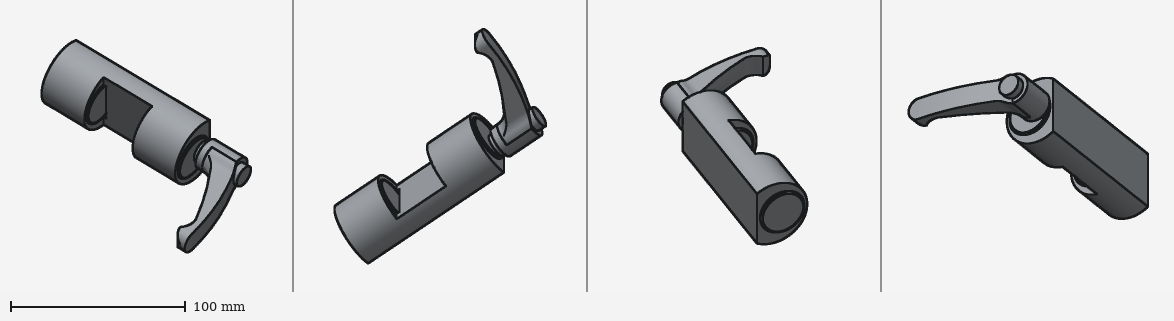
import cadquery as cq
import math


BODY_START = 1.4
BODY_END = 98.9
BODY_RADIUS = 20.98
BACK_FLAT_Y = 11.1
NOTCH_START = 32.7
NOTCH_END = 67.9
NOTCH_FLOOR_Y = -3.2

PLUG_Y = -4.8
PLUG_RADIUS = 14.0
PLUG_EDGE_LENGTH = 0.7
PLUG_EDGE_DEPTH = 1.1
RIGHT_PLUG_END = 100.0
LEFT_PLUG_OVERHANG = 0.4
RIGHT_PLUG_OVERHANG = 1.0
BORE_OVERRUN = 1.8

HUB_Y = 2.0
STEM_RADIUS = 6.9
HUB_START = 103.3
HUB_END = 126.0
HUB_RADIUS = 9.63
CAP_END = 131.0
CAP_RADIUS = 6.58

COLLAR_THICKNESS = 0.07
COLLAR_RADIUS = HUB_RADIUS + COLLAR_THICKNESS
ARM_START = 108.2
ARM_TOP_Y = 1.4
ARM_HALF_THICKNESS = 6.9
ARM_FILLET = 10.1
ARM_OUTER_MIDDLE = (134.3, -22.5)
ARM_RIGHT = 138.5
TIP_Y = -55.1
TIP_BOTTOM_Y = TIP_Y - ARM_HALF_THICKNESS
TIP_BULGE = (131.7, -60.0)
TIP_LOWEST_X = 135.7
TIP_LEFT_X = 130.0
TIP_LEFT_LENGTH = 1.0
LIP_MIDDLE = (133.1, -50.3)
NECK = (133.4, -45.4)

RIDGE_HALF_THICKNESS = 1.59
RIDGE_INNER_MIDDLE = (123.7, -24.2)
RIDGE_ROOT_END = (116.2, -11.8)
FACE_INNER_MIDDLE = (124.2, -24.2)
FACE_ROOT_END = (116.5, -10.4)
FLANK_HEIGHTS = (RIDGE_HALF_THICKNESS, 4.2, 6.6, 8.7)


def cylinder(start, end, radius, y):
    """Cylinder along X."""
    return cq.Workplane("YZ", origin=(start, y, 0)).circle(radius).extrude(end - start)


def make_body():
    body = cylinder(BODY_START, BODY_END, BODY_RADIUS, 0)
    length = BODY_END - BODY_START
    height = 2 * BODY_RADIUS
    stock = cq.Workplane("XY").box(length, BODY_RADIUS + BACK_FLAT_Y, height, centered=(False, False, True))
    body = body.intersect(stock.translate((BODY_START, -BODY_RADIUS, 0)))
    notch = cq.Workplane("XY").box(
        NOTCH_END - NOTCH_START, BODY_RADIUS + NOTCH_FLOOR_Y, height, centered=(False, False, True)
    )
    body = body.cut(notch.translate((NOTCH_START, -BODY_RADIUS, 0)))
    body = body.cut(cylinder(BODY_START, NOTCH_START + BORE_OVERRUN, PLUG_RADIUS, PLUG_Y))
    return body.cut(cylinder(NOTCH_END - BORE_OVERRUN, BODY_END, PLUG_RADIUS, PLUG_Y))


def make_plug(start, end):
    """Plug with both rims bevelled."""
    plug = cylinder(start, end, PLUG_RADIUS, PLUG_Y)
    plug = plug.faces("<X").chamfer(PLUG_EDGE_LENGTH, PLUG_EDGE_DEPTH)
    return plug.faces(">X").chamfer(PLUG_EDGE_LENGTH, PLUG_EDGE_DEPTH)


def slope(ridge_point, face_point, z):
    """Point at height z on the line from the ridge to the upper face."""
    share = (z - RIDGE_HALF_THICKNESS) / (ARM_HALF_THICKNESS - RIDGE_HALF_THICKNESS)
    return tuple(ridge + share * (face - ridge) for ridge, face in zip(ridge_point, face_point))


def close_inner_side(outline, z):
    """Close a plan outline, open at the neck, with the inner side the arm has at height z."""
    inner_middle = slope(RIDGE_INNER_MIDDLE, FACE_INNER_MIDDLE, z)
    root_end = slope(RIDGE_ROOT_END, FACE_ROOT_END, z)

    root_start = (ARM_START, HUB_Y - math.sqrt(COLLAR_RADIUS**2 - z**2))
    run = root_end[0] - root_start[0]
    drop = root_start[1] - root_end[1]
    radius = (run**2 + drop**2) / (2 * drop)
    half_turn = math.atan2(drop, run)
    root_middle = (
        root_start[0] + radius * math.sin(half_turn),
        root_start[1] - radius * (1 - math.cos(half_turn)),
    )
    return (
        outline.threePointArc(inner_middle, root_end)
        .threePointArc(root_middle, root_start)
        .close()
    )


def core_outline(z):
    """Plan outline of the whole arm, with the inner side it has at height z."""
    outline = (
        cq.Workplane("XY")
        .moveTo(ARM_START, ARM_TOP_Y)
        .lineTo(HUB_END, ARM_TOP_Y)
        .threePointArc(ARM_OUTER_MIDDLE, (ARM_RIGHT, TIP_Y))
        .lineTo(ARM_RIGHT, TIP_BOTTOM_Y)
        .lineTo(TIP_LOWEST_X, TIP_BOTTOM_Y)
        .threePointArc(TIP_BULGE, (TIP_LEFT_X, TIP_Y - TIP_LEFT_LENGTH))
        .lineTo(TIP_LEFT_X, TIP_Y)
        .threePointArc(LIP_MIDDLE, NECK)
    )
    return close_inner_side(outline, z)


def inner_outline(z, base_z):
    """Plan outline of the part next to the inner side at height z, drawn at height base_z."""
    outline = (
        cq.Workplane("XY", origin=(0, 0, base_z))
        .moveTo(ARM_START, ARM_TOP_Y)
        .lineTo(HUB_END, ARM_TOP_Y)
        .lineTo(*NECK)
    )
    return close_inner_side(outline, z)


def arc_middle(center, radius, angle_a, angle_b):
    angle = (angle_a + angle_b) / 2
    return (center[0] + radius * math.cos(angle), center[1] + radius * math.sin(angle))


def arm_upper_section():
    """Upper half of the side profile: collar circle, concave fillet, flat face and round tip."""
    center_distance = COLLAR_RADIUS + ARM_FILLET
    fillet_z = ARM_HALF_THICKNESS + ARM_FILLET
    fillet_y = HUB_Y - math.sqrt(center_distance**2 - fillet_z**2)
    blend_angle = math.atan2(fillet_z, fillet_y - HUB_Y)
    blend = (HUB_Y + COLLAR_RADIUS * math.cos(blend_angle), COLLAR_RADIUS * math.sin(blend_angle))
    collar_middle = arc_middle((HUB_Y, 0), COLLAR_RADIUS, math.pi / 2, blend_angle)
    fillet_middle = arc_middle((fillet_y, fillet_z), ARM_FILLET, -math.pi / 2, blend_angle - math.pi)
    return (
        cq.Workplane("YZ")
        .moveTo(HUB_Y, 0)
        .lineTo(HUB_Y, COLLAR_RADIUS)
        .threePointArc(collar_middle, blend)
        .threePointArc(fillet_middle, (fillet_y, ARM_HALF_THICKNESS))
        .lineTo(TIP_Y, ARM_HALF_THICKNESS)
        .radiusArc((TIP_BOTTOM_Y, 0), -ARM_HALF_THICKNESS)
        .close()
        .extrude(ARM_RIGHT)
    )


def make_arm():
    core = core_outline(FLANK_HEIGHTS[-1]).extrude(COLLAR_RADIUS)
    ridge = inner_outline(RIDGE_HALF_THICKNESS, 0).extrude(RIDGE_HALF_THICKNESS)
    flank_outlines = [inner_outline(z, z).val() for z in FLANK_HEIGHTS]
    flank = cq.Workplane(cq.Solid.makeLoft(flank_outlines))
    upper = core.union(ridge).union(flank).intersect(arm_upper_section())
    return upper.union(upper.mirror("XY"))


def make_lever():
    stem = cylinder(BODY_END, HUB_START, STEM_RADIUS, HUB_Y)
    hub = cylinder(HUB_START, HUB_END, HUB_RADIUS, HUB_Y)
    cap = cylinder(HUB_END, CAP_END, CAP_RADIUS, HUB_Y)
    return stem.union(hub).union(cap).union(make_arm())


left_plug = make_plug(0, NOTCH_START + LEFT_PLUG_OVERHANG)
right_plug = make_plug(NOTCH_END - RIGHT_PLUG_OVERHANG, RIGHT_PLUG_END)
result = make_body().union(left_plug).union(right_plug).union(make_lever())